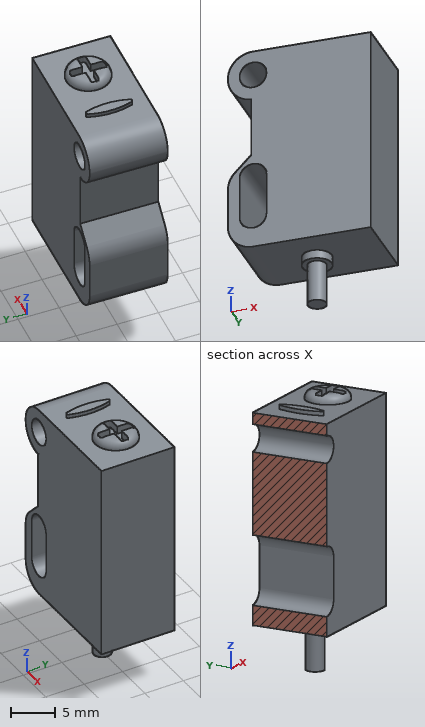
import cadquery as cq
import math

width = 17.0
depth = 9.5
height = 25.0
corner_radius = 3.0
neck_x = 2.8
upper_lug_flat = 0.1
lower_arc_z = 7.75

mount_diameter = 3.2
slot_bottom_z = 2.4
slot_length = 8.2

cable_x = 9.0
collar_diameter = 3.5
collar_length = 1.02
cable_diameter = 2.2
cable_length = 5.0

screw_x = 12.0
screw_diameter = 5.3
screw_height = 1.0
recess_span = 4.3
recess_width = 1.0
recess_corner_radius = 0.25
recess_depth = screw_height

lens_x = 5.82
lens_width = 1.28
lens_sharp_length = 6.53
lens_tip_radius = 0.24
lens_height = 0.48


def make_housing():
    """Side profile with two rounded lugs, extruded through the depth."""
    upper_z = height - corner_radius
    under_z = upper_z - upper_lug_flat
    diagonal = corner_radius * math.sqrt(0.5)
    neck_drop = math.sqrt(corner_radius**2 - (corner_radius - neck_x)**2)
    ramp_start_x = corner_radius - diagonal
    ramp_start_z = lower_arc_z + diagonal
    ramp_end_z = ramp_start_z + neck_x - ramp_start_x
    under_arc_mid = (corner_radius - diagonal, under_z - diagonal)
    ramp_arc_half_angle = math.radians(22.5)
    ramp_arc_mid = (
        corner_radius * (1 - math.cos(ramp_arc_half_angle)),
        lower_arc_z + corner_radius * math.sin(ramp_arc_half_angle),
    )
    return (
        cq.Workplane("XZ", origin=(0, depth / 2, 0))
        .moveTo(width, 0)
        .lineTo(width, height)
        .lineTo(corner_radius, height)
        .threePointArc((corner_radius - diagonal, upper_z + diagonal), (0, upper_z))
        .lineTo(0, under_z)
        .threePointArc(under_arc_mid, (neck_x, under_z - neck_drop))
        .lineTo(neck_x, ramp_end_z)
        .lineTo(ramp_start_x, ramp_start_z)
        .threePointArc(ramp_arc_mid, (0, lower_arc_z))
        .lineTo(0, corner_radius)
        .threePointArc((corner_radius - diagonal, corner_radius - diagonal), (corner_radius, 0))
        .close()
        .extrude(depth)
    )


def make_mount_openings():
    """Round hole in the upper lug and vertical slot in the lower lug."""
    plane = cq.Workplane("XZ", origin=(corner_radius, depth / 2, 0))
    hole = plane.center(0, height - corner_radius).circle(mount_diameter / 2).extrude(depth)
    slot = (
        plane.center(0, slot_bottom_z + slot_length / 2)
        .slot2D(slot_length, mount_diameter, 90)
        .extrude(depth)
    )
    return hole.union(slot)


def make_cable():
    """Collar with the cable stub below it."""
    collar = cq.Workplane(origin=(cable_x, 0, 0)).circle(collar_diameter / 2).extrude(-collar_length)
    return collar.faces("<Z").workplane().circle(cable_diameter / 2).extrude(cable_length)


def make_screw_head():
    """Head with a fully rounded rim, cut by a cross recess."""
    plane = cq.Workplane(origin=(screw_x, 0, height))
    rim_inset = screw_height * (1 - math.sqrt(0.5))
    flat_radius = screw_diameter / 2 - screw_height
    head = (
        cq.Workplane("XZ", origin=(screw_x, 0, height))
        .lineTo(screw_diameter / 2, 0)
        .threePointArc(
            (screw_diameter / 2 - rim_inset, screw_height - rim_inset),
            (flat_radius, screw_height),
        )
        .lineTo(0, screw_height)
        .close()
        .revolve(360, (0, 0), (0, 1))
    )
    recess_plane = plane.workplane(offset=screw_height)
    for size_x, size_y in ((recess_span, recess_width), (recess_width, recess_span)):
        arm = recess_plane.rect(size_x, size_y).extrude(-recess_depth)
        head = head.cut(arm.edges("|Z").fillet(recess_corner_radius))
    return head


def make_lens():
    """Raised plate bounded by two shallow arcs, with rounded tips."""
    half_length = lens_sharp_length / 2
    return (
        cq.Workplane(origin=(lens_x, 0, height))
        .moveTo(0, -half_length)
        .threePointArc((lens_width / 2, 0), (0, half_length))
        .threePointArc((-lens_width / 2, 0), (0, -half_length))
        .close()
        .extrude(lens_height)
        .edges("|Z")
        .fillet(lens_tip_radius)
    )


housing = make_housing().cut(make_mount_openings())
result = housing.union(make_cable()).union(make_screw_head()).union(make_lens())